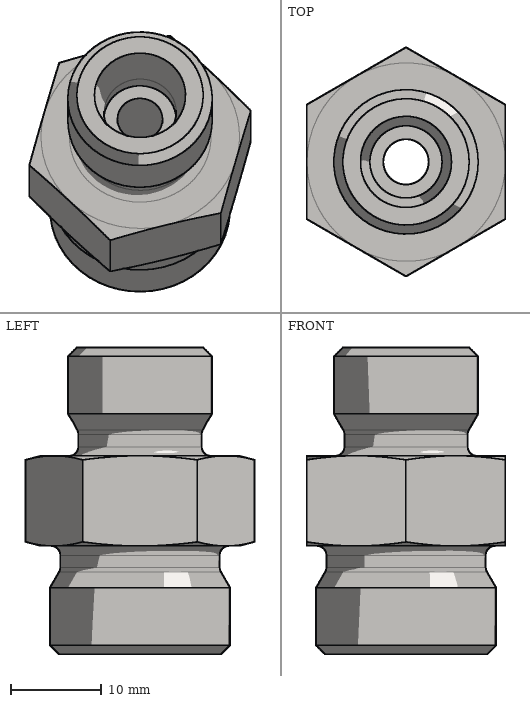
import cadquery as cq
import math

end_length = 12.0
hex_height = 10.0
hex_bottom_z = end_length
hex_top_z = hex_bottom_z + hex_height
total_height = hex_top_z + end_length

hex_across_flats = 22.0
hex_across_corners = hex_across_flats / math.cos(math.radians(30))
hex_chamfer_angle = 15.0
corner_clearance = 1.0

upper_thread_diameter = 16.0
upper_neck_diameter = 13.7
lower_thread_diameter = 20.0
lower_neck_diameter = 17.7
end_chamfer = 1.0

groove_length = 4.63
groove_taper_angle = 30.0
groove_fillet = 1.0

through_bore_diameter = 5.0
tube_bore_diameter = 8.0
tube_bore_depth = 7.0
cone_mouth_diameter = 10.1
cone_half_angle = 12.0


def make_hexagon():
    """Hexagon with flats facing +X and -X and conically chamfered corners."""
    flats = (
        cq.Workplane("XY")
        .workplane(offset=hex_bottom_z)
        .polygon(6, hex_across_corners)
        .extrude(hex_height)
        .rotate((0, 0, 0), (0, 0, 1), 30)
    )
    face_radius = hex_across_flats / 2
    outer_radius = hex_across_corners / 2 + corner_clearance
    drop = (outer_radius - face_radius) * math.tan(math.radians(hex_chamfer_angle))
    envelope = (
        cq.Workplane("XZ")
        .moveTo(0, hex_bottom_z)
        .lineTo(face_radius, hex_bottom_z)
        .lineTo(outer_radius, hex_bottom_z + drop)
        .lineTo(outer_radius, hex_top_z - drop)
        .lineTo(face_radius, hex_top_z)
        .lineTo(0, hex_top_z)
        .close()
        .revolve(axisStart=(0, 0, 0), axisEnd=(0, 1, 0))
    )
    return flats.intersect(envelope)


def make_threaded_end(thread_diameter, neck_diameter):
    """Threaded end standing on z = 0, where it meets the hexagon, and pointing up."""
    thread_radius = thread_diameter / 2
    neck_radius = neck_diameter / 2
    taper = math.radians(groove_taper_angle)

    arc_rise = groove_fillet * math.sin(taper)
    arc_run = groove_fillet * (1 - math.cos(taper))
    mid_rise = groove_fillet * math.sin(taper / 2)
    mid_run = groove_fillet * (1 - math.cos(taper / 2))
    taper_start_radius = neck_radius + arc_run
    taper_start_z = groove_length - (thread_radius - taper_start_radius) / math.tan(taper)
    neck_end_z = taper_start_z - arc_rise

    fillet_centre_radius = neck_radius + groove_fillet
    diagonal = groove_fillet * math.sqrt(0.5)

    return (
        cq.Workplane("XZ")
        .moveTo(0, 0)
        .lineTo(fillet_centre_radius, 0)
        .threePointArc(
            (fillet_centre_radius - diagonal, groove_fillet - diagonal),
            (neck_radius, groove_fillet),
        )
        .lineTo(neck_radius, neck_end_z)
        .threePointArc(
            (neck_radius + mid_run, neck_end_z + mid_rise),
            (taper_start_radius, taper_start_z),
        )
        .lineTo(thread_radius, groove_length)
        .lineTo(thread_radius, end_length - end_chamfer)
        .lineTo(thread_radius - end_chamfer, end_length)
        .lineTo(0, end_length)
        .close()
        .revolve(axisStart=(0, 0, 0), axisEnd=(0, 1, 0))
    )


def make_bore():
    """Through bore, tube bore and conical mouth as one revolved cutter."""
    through_radius = through_bore_diameter / 2
    tube_radius = tube_bore_diameter / 2
    mouth_radius = cone_mouth_diameter / 2
    cone_depth = (mouth_radius - tube_radius) / math.tan(math.radians(cone_half_angle))
    shoulder_z = total_height - tube_bore_depth
    return (
        cq.Workplane("XZ")
        .moveTo(0, 0)
        .lineTo(through_radius, 0)
        .lineTo(through_radius, shoulder_z)
        .lineTo(tube_radius, shoulder_z)
        .lineTo(tube_radius, total_height - cone_depth)
        .lineTo(mouth_radius, total_height)
        .lineTo(0, total_height)
        .close()
        .revolve(axisStart=(0, 0, 0), axisEnd=(0, 1, 0))
    )


upper_end = make_threaded_end(upper_thread_diameter, upper_neck_diameter)
upper_end = upper_end.translate((0, 0, hex_top_z))

lower_end = make_threaded_end(lower_thread_diameter, lower_neck_diameter)
lower_end = lower_end.rotate((0, 0, 0), (1, 0, 0), 180)
lower_end = lower_end.translate((0, 0, hex_bottom_z))

result = make_hexagon().union(upper_end).union(lower_end).cut(make_bore())